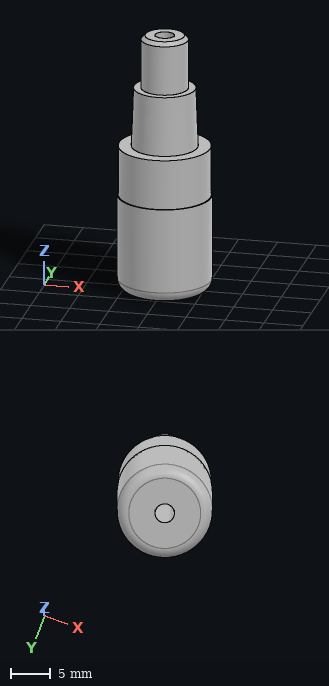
import cadquery as cq

total_height = 33.7
bore_radius = 1.2

cap_radius = 6.0
cap_height = 12.55
cap_edge_radius = 1.48

collar_radius = 5.85
collar_top = 19.05
shank_bottom_radius = 4.2
shank_top_radius = 3.95
shank_top = 26.75
tip_radius = 3.0
tip_chamfer = 0.5


def make_bore():
    """Axial hole running through both bodies."""
    return cq.Workplane("XY").circle(bore_radius).extrude(total_height)


def make_cap():
    """Cylinder with a rounded bottom edge and the axial bore."""
    cap = cq.Workplane("XY").circle(cap_radius).extrude(cap_height)
    return cap.faces("<Z").edges().fillet(cap_edge_radius).cut(make_bore())


def make_stem():
    """Revolved collar, tapered shank and chamfered tip with the axial bore."""
    profile = (
        cq.Workplane("XZ")
        .moveTo(0, cap_height)
        .lineTo(collar_radius, cap_height)
        .lineTo(collar_radius, collar_top)
        .lineTo(shank_bottom_radius, collar_top)
        .lineTo(shank_top_radius, shank_top)
        .lineTo(tip_radius, shank_top)
        .lineTo(tip_radius, total_height - tip_chamfer)
        .lineTo(tip_radius - tip_chamfer, total_height)
        .lineTo(0, total_height)
        .close()
    )
    return profile.revolve(360, (0, 0, 0), (0, 1, 0)).cut(make_bore())


cap = make_cap()
stem = make_stem()

result = cq.Compound.makeCompound([cap.val(), stem.val()])